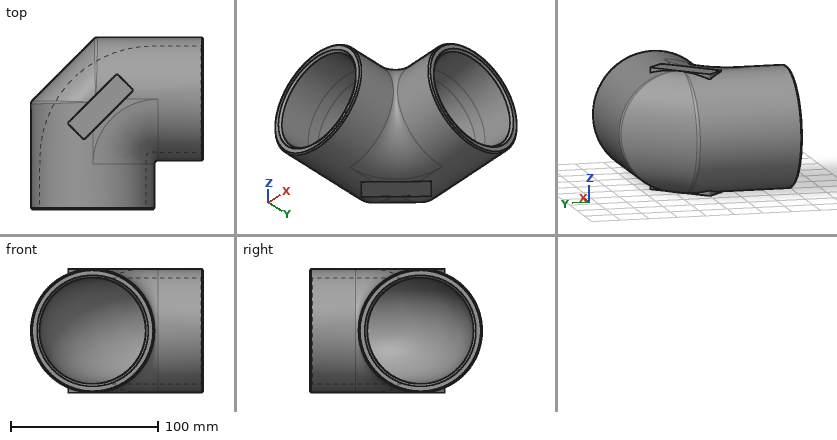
import cadquery as cq
import math

LONGEST_SIDE = 117.0
OUTER_DIAMETER = 84.0
OUTER_RADIUS = OUTER_DIAMETER / 2
LEG_LENGTH = LONGEST_SIDE - OUTER_RADIUS

THROAT_RADIUS = 2.0
BEND_RADIUS = OUTER_RADIUS + THROAT_RADIUS
HEEL_START = 2.0
HEEL_FILLET = 3.0
HEEL_EDGE_MARGIN = 0.1
MOUTH_CHAMFER = 1.0

SOCKET_DIAMETER = 72.2
SOCKET_RADIUS = SOCKET_DIAMETER / 2
SOCKET_DEPTH = 26.3
INNER_RADIUS = 35.9
TAPER_LENGTH = 8.8
INNER_BEND_RADIUS = LEG_LENGTH - SOCKET_DEPTH - TAPER_LENGTH
LEAD_IN = 1.6

PLATE_LENGTH = 47.5
PLATE_WIDTH = 15.8
PLATE_CORNER = 0.9
PLATE_OFFSET = 7.5
PLATE_RISE = 0.06
PLATE_DEPTH = 4.7


def both_legs(leg):
    """Return the +X leg together with its copy on -Y, flipped about the diagonal of the bend."""
    across_bend = leg.rotate((0, 0, 0), (1, -1, 0), 180)
    return leg.union(across_bend)


def outer_leg():
    """Leg along +X, with the start of its circle turned to the throat so the heel edge stays whole."""
    end_plane = cq.Plane(origin=(HEEL_START, 0, 0), xDir=(0, -1, 0), normal=(1, 0, 0))
    return (
        cq.Workplane(end_plane)
        .circle(OUTER_RADIUS)
        .extrude(LEG_LENGTH - HEEL_START)
        .faces(">X").chamfer(MOUTH_CHAMFER)
    )


def heel():
    """Slanted elliptic cylinder joining the inner ends of the two legs."""
    start = (HEEL_START / 2 - OUTER_RADIUS, -HEEL_START / 2 - OUTER_RADIUS, 0)
    slant = cq.Plane(origin=start, xDir=(1, -1, 0), normal=(1, 1, 0))
    tube = (
        cq.Workplane(slant)
        .ellipse(OUTER_RADIUS * math.sqrt(0.5), OUTER_RADIUS)
        .extrude(2 * OUTER_DIAMETER)
    )
    outside_legs = cq.Workplane("XY").box(OUTER_DIAMETER, OUTER_DIAMETER, OUTER_DIAMETER)
    box_centre = HEEL_START - OUTER_RADIUS
    return tube.intersect(outside_legs.translate((box_centre, -box_centre, 0)))


def throat():
    """Quarter ring around the inner corner, flat on top and bottom outside the crest of the ring."""
    reach = 1.5 * BEND_RADIUS
    quarter_ring = (
        cq.Workplane("XZ", origin=(BEND_RADIUS, -BEND_RADIUS, 0))
        .moveTo(-reach, -OUTER_RADIUS)
        .lineTo(-BEND_RADIUS, -OUTER_RADIUS)
        .threePointArc((-THROAT_RADIUS, 0), (-BEND_RADIUS, OUTER_RADIUS))
        .lineTo(-reach, OUTER_RADIUS)
        .close()
        .revolve(90, (0, 0), (0, -1))
    )
    square = cq.Workplane("XY").box(BEND_RADIUS, BEND_RADIUS, OUTER_DIAMETER)
    return quarter_ring.intersect(square.translate((BEND_RADIUS / 2, -BEND_RADIUS / 2, 0)))


def label_plates():
    """Flat plates across the bend, one on the top and one on the bottom."""
    height = OUTER_RADIUS + PLATE_RISE
    plate = (
        cq.Workplane("XY", origin=(0, 0, height - PLATE_DEPTH))
        .rect(PLATE_LENGTH, PLATE_WIDTH)
        .extrude(PLATE_DEPTH)
        .edges("|Z").fillet(PLATE_CORNER)
        .rotate((0, 0, 0), (0, 0, 1), 45)
        .translate((PLATE_OFFSET * math.sqrt(0.5), -PLATE_OFFSET * math.sqrt(0.5), 0))
    )
    return plate.union(plate.mirror("XY"))


def round_heel_edges(body):
    """Round the two curved edges where the heel meets the legs."""
    near = HEEL_START - HEEL_EDGE_MARGIN
    far = HEEL_START + HEEL_EDGE_MARGIN
    inner_limit = HEEL_FILLET
    leg_x_edge = cq.selectors.BoxSelector(
        (near, inner_limit, -OUTER_RADIUS), (far, OUTER_RADIUS, OUTER_RADIUS)
    )
    leg_y_edge = cq.selectors.BoxSelector(
        (-OUTER_RADIUS, -far, -OUTER_RADIUS), (-inner_limit, -near, OUTER_RADIUS)
    )
    return body.edges(leg_x_edge + leg_y_edge).fillet(HEEL_FILLET)


def socket_bore():
    """Revolved bore of the +X leg, from the bend out to the mouth."""
    socket_bottom = LEG_LENGTH - SOCKET_DEPTH
    return (
        cq.Workplane("XY")
        .moveTo(INNER_BEND_RADIUS, 0)
        .lineTo(INNER_BEND_RADIUS, INNER_RADIUS)
        .lineTo(socket_bottom, SOCKET_RADIUS)
        .lineTo(LEG_LENGTH - LEAD_IN, SOCKET_RADIUS)
        .lineTo(LEG_LENGTH, SOCKET_RADIUS + LEAD_IN)
        .lineTo(LEG_LENGTH, 0)
        .close()
        .revolve(360, (0, 0), (1, 0))
    )


def bend_bore():
    """Quarter ring joining the inner ends of the two socket bores."""
    return (
        cq.Workplane("XZ", origin=(0, -INNER_BEND_RADIUS, 0))
        .circle(INNER_RADIUS)
        .revolve(90, (INNER_BEND_RADIUS, 0), (INNER_BEND_RADIUS, -1))
    )


body = heel().union(both_legs(outer_leg())).union(throat()).union(label_plates())
body = round_heel_edges(body)
result = body.cut(both_legs(socket_bore())).cut(bend_bore())